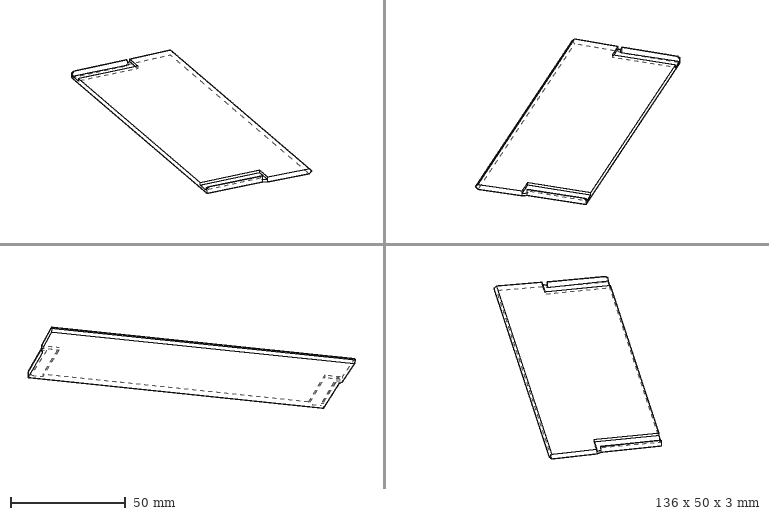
import cadquery as cq

length = 136.0
depth = 50.0
thickness = 2.5
bevel_depth = 1.2

half_length = length / 2
half_at_shoulder = 67.5
half_at_rail_back = 66.5
half_at_front = 66.2
shoulder_y = 28.8
rail_back_y = 26.8

recess_inner_x = 59.5
floor_z = 1.2
rail_top_z = 3.0
rail_width_back = 1.9
rail_width_front = 1.2
rail_flat_width = 0.3
rail_bulge = 0.2
rail_chamfer_depth = 1.1
rail_chamfer_height = 0.7


def make_plate():
    """Symmetric plate whose sides narrow toward the front."""
    right_side = [
        (half_at_front, 0),
        (half_at_rail_back, rail_back_y),
        (half_at_shoulder, shoulder_y),
        (half_length, depth),
    ]
    left_side = [(-x, y) for x, y in reversed(right_side)]
    blank = cq.Workplane("XY").polyline(right_side + left_side).close().extrude(thickness)
    section = [
        (0, 0),
        (depth - bevel_depth, 0),
        (depth, thickness / 2),
        (depth - bevel_depth, thickness),
        (0, thickness),
    ]
    bevelled = cq.Workplane("YZ").polyline(section).close().extrude(half_length, both=True)
    return blank.intersect(bevelled)


def make_recess():
    """Right-hand pocket, open to the front and to the side."""
    return (
        cq.Workplane("XY")
        .box(half_length - recess_inner_x, shoulder_y, thickness, centered=False)
        .translate((recess_inner_x, 0, floor_z))
    )


def rail_section(y, outer_x, width):
    """Closed wire across the rail: upright outer side, flat top and rounded inner side."""
    inner_x = outer_x - width
    top_inner_x = outer_x - rail_flat_width
    middle_x = (inner_x + top_inner_x) / 2 - rail_bulge
    middle_z = (floor_z + rail_top_z) / 2 + rail_bulge
    outer_bottom = cq.Vector(outer_x, y, 0)
    outer_top = cq.Vector(outer_x, y, rail_top_z)
    inner_top = cq.Vector(top_inner_x, y, rail_top_z)
    inner_middle = cq.Vector(middle_x, y, middle_z)
    inner_floor = cq.Vector(inner_x, y, floor_z)
    inner_bottom = cq.Vector(inner_x, y, 0)
    return cq.Wire.assembleEdges([
        cq.Edge.makeLine(outer_bottom, outer_top),
        cq.Edge.makeLine(outer_top, inner_top),
        cq.Edge.makeThreePointArc(inner_top, inner_middle, inner_floor),
        cq.Edge.makeLine(inner_floor, inner_bottom),
        cq.Edge.makeLine(inner_bottom, outer_bottom),
    ])


def make_rail():
    """Right-hand rail, narrowing toward a chamfered front end."""
    front = rail_section(0, half_at_front, rail_width_front)
    back = rail_section(rail_back_y, half_at_rail_back, rail_width_back)
    rail = cq.Workplane(cq.Solid.makeLoft([front, back], True))
    chamfer = (
        cq.Workplane("YZ")
        .polyline([
            (0, rail_top_z - rail_chamfer_height),
            (rail_chamfer_depth, rail_top_z),
            (0, rail_top_z),
        ])
        .close()
        .extrude(half_length)
    )
    return rail.cut(chamfer)


recess = make_recess()
rail = make_rail()
result = (
    make_plate()
    .cut(recess)
    .cut(recess.mirror("YZ"))
    .union(rail)
    .union(rail.mirror("YZ"))
)